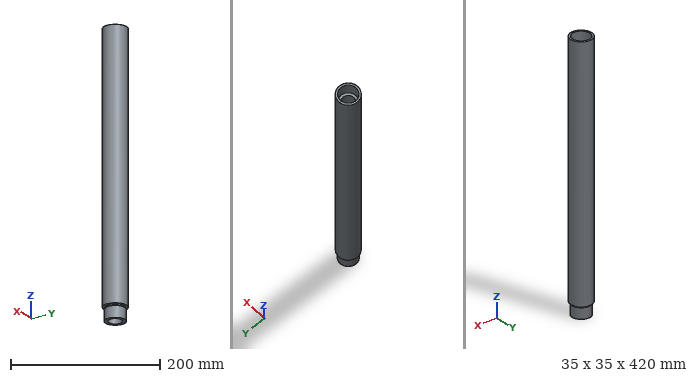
import cadquery as cq

total_length = 420.0
tube_diameter = 35.0
bore_diameter = 20.0

spigot_diameter = 30.0
spigot_length = 20.0
groove_diameter = 27.0
groove_width = 2.5

socket_diameter = 28.38
socket_depth = spigot_length


def cylinder(diameter, bottom, height):
    """Solid cylinder on the Z axis, starting at the given height."""
    return cq.Workplane("XY").workplane(offset=bottom).circle(diameter / 2).extrude(height)


def outer_body():
    """Stepped outside: spigot, relief groove and tube."""
    groove_bottom = spigot_length - groove_width
    spigot = cylinder(spigot_diameter, 0, groove_bottom)
    groove_core = cylinder(groove_diameter, groove_bottom, groove_width)
    tube = cylinder(tube_diameter, spigot_length, total_length - spigot_length)
    return spigot.union(groove_core).union(tube)


def inner_cavity():
    """Through bore that widens into the socket at the top."""
    bore = cylinder(bore_diameter, 0, total_length)
    socket = cylinder(socket_diameter, total_length - socket_depth, socket_depth)
    return bore.union(socket)


result = outer_body().cut(inner_cavity())